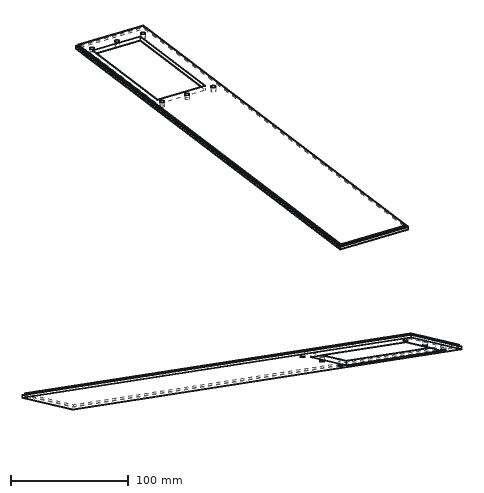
import cadquery as cq

length = 425.0
width = 68.0
thickness = 4.0
rim_width = 1.5
rim_drop = 1.5

window_length = 104.0
window_width = 47.5
window_left_margin = 17.0
window_front_margin = 6.5

hole_diameter = 4.0
hole_left_margins = (13.5, 126.0)
hole_front_margins = (8.0, 33.0, 59.0)

left_edge = -length / 2
front_edge = -width / 2


def make_plate():
    """Flat plate with a shallow step running around its top edge."""
    base = cq.Workplane("XY").rect(length, width).extrude(thickness - rim_drop)
    raised_top = cq.Workplane("XY").rect(length - 2 * rim_width, width - 2 * rim_width).extrude(thickness)
    return base.union(raised_top)


def make_window():
    """Cutter for the sharp-cornered opening through the plate."""
    window = cq.Workplane("XY").box(window_length, window_width, thickness, centered=False)
    return window.translate((left_edge + window_left_margin, front_edge + window_front_margin, 0))


def make_screw_holes():
    """Cutters for the two columns of through holes beside the window."""
    centers = [
        (left_edge + left_margin, front_edge + front_margin)
        for left_margin in hole_left_margins
        for front_margin in hole_front_margins
    ]
    return cq.Workplane("XY").pushPoints(centers).circle(hole_diameter / 2).extrude(thickness)


result = make_plate().cut(make_window()).cut(make_screw_holes())